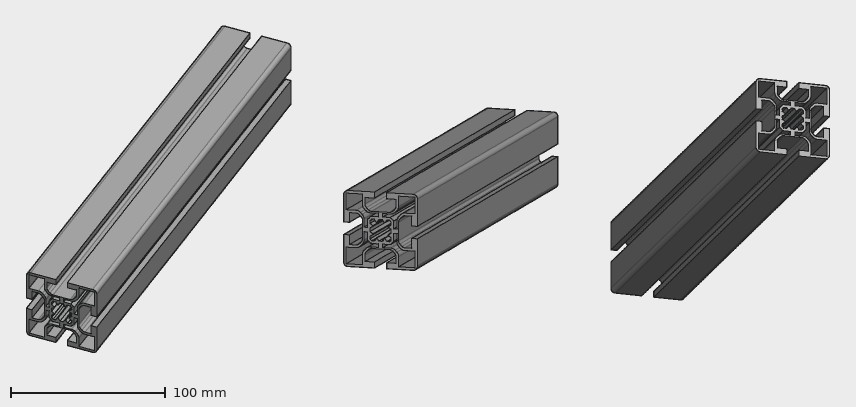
import cadquery as cq
import math

SIDE = 50.0
LENGTH = 300.0
CORNER_RADIUS = 3.0

SLOT_OPENING = 8.2
LIP_THICKNESS = 4.0
CAVITY_WIDTH = 21.0
CAVITY_FLOOR = 12.2
CAVITY_CHAMFER = 3.2
CAVITY_BLEND = 3.0

OUTER_WALL = 1.8
SLOT_WALL = 1.8
FLOOR_WALL = 1.0
SLOT_WALL_CHAMFER = 3.6
SLOT_WALL_BLEND = 4.0

CORE_SIDE = 17.8
CORE_CORNER = 2.2
CORE_WALL = 1.8
WEB_WIDTH = 3.0
TOOTH_BASE = 3.2
TOOTH_OFFSET = 2.7
TOOTH_TIP = 5.1
TOOTH_TIP_WIDTH = 0.3

HALF = SIDE / 2
EDGE_MARGIN = 0.5
CORE_BORE_SIDE = CORE_SIDE - 2 * CORE_WALL
CORE_BORE_CORNER = CORE_CORNER - CORE_WALL * (2 - math.sqrt(2))


def profile_plane():
    """Cross-section plane: local x is X, local y is Z, extruding toward -Y."""
    return cq.Workplane("XZ", origin=(0, LENGTH / 2, 0))


def square_bar(side):
    return profile_plane().rect(side, side).extrude(LENGTH)


def box_between(x_min, x_max, z_min, z_max):
    """Full-length bar covering the given range of the cross-section."""
    centre = ((x_min + x_max) / 2, (z_min + z_max) / 2)
    return profile_plane().center(*centre).rect(x_max - x_min, z_max - z_min).extrude(LENGTH)


def chamfered_trough(width, floor, top, chamfer, blend):
    """Full-length bar with its two lower edges chamfered and the chamfers blended into the faces."""
    half = width / 2
    block = box_between(-half, half, floor, top)
    chamfered = block.faces("<Z").edges("|Y").chamfer(chamfer)
    chamfer_limit = floor + chamfer + EDGE_MARGIN
    lower_zone = cq.selectors.BoxSelector((-SIDE, -LENGTH, 0), (SIDE, LENGTH, chamfer_limit))
    return chamfered.edges("|Y").edges(lower_zone).fillet(blend)


def four_sides(body):
    """The body together with its copies turned to the other three sides."""
    combined = body
    for turn in range(1, 4):
        combined = combined.union(body.rotate((0, 0, 0), (0, 1, 0), 90 * turn))
    return combined


def slot_wall():
    return chamfered_trough(CAVITY_WIDTH + 2 * SLOT_WALL, CAVITY_FLOOR - FLOOR_WALL,
                            HALF, SLOT_WALL_CHAMFER, SLOT_WALL_BLEND)


def slot_cut():
    cavity = chamfered_trough(CAVITY_WIDTH, CAVITY_FLOOR, HALF - LIP_THICKNESS,
                              CAVITY_CHAMFER, CAVITY_BLEND)
    opening = box_between(-SLOT_OPENING / 2, SLOT_OPENING / 2, CAVITY_FLOOR, HALF)
    return cavity.union(opening)


def web():
    return box_between(-WEB_WIDTH / 2, WEB_WIDTH / 2, CORE_BORE_SIDE / 2, CAVITY_FLOOR)


def tooth(x):
    base_z = (CORE_BORE_SIDE + CORE_WALL) / 2
    corners = [
        (x - TOOTH_BASE / 2, base_z),
        (x - TOOTH_BASE / 2, CORE_BORE_SIDE / 2),
        (x - TOOTH_TIP_WIDTH / 2, TOOTH_TIP),
        (x + TOOTH_TIP_WIDTH / 2, TOOTH_TIP),
        (x + TOOTH_BASE / 2, CORE_BORE_SIDE / 2),
        (x + TOOTH_BASE / 2, base_z),
    ]
    return profile_plane().polyline(corners).close().extrude(LENGTH)


def core():
    tube = square_bar(CORE_SIDE).edges("|Y").chamfer(CORE_CORNER)
    bore = square_bar(CORE_BORE_SIDE).edges("|Y").chamfer(CORE_BORE_CORNER)
    teeth = tooth(-TOOTH_OFFSET).union(tooth(TOOTH_OFFSET))
    return tube.cut(bore).union(four_sides(teeth))


def shell():
    outside = square_bar(SIDE).edges("|Y").fillet(CORNER_RADIUS)
    return outside.cut(square_bar(SIDE - 2 * OUTER_WALL))


result = shell().union(four_sides(slot_wall())).cut(four_sides(slot_cut()))
result = result.union(core()).union(four_sides(web()))